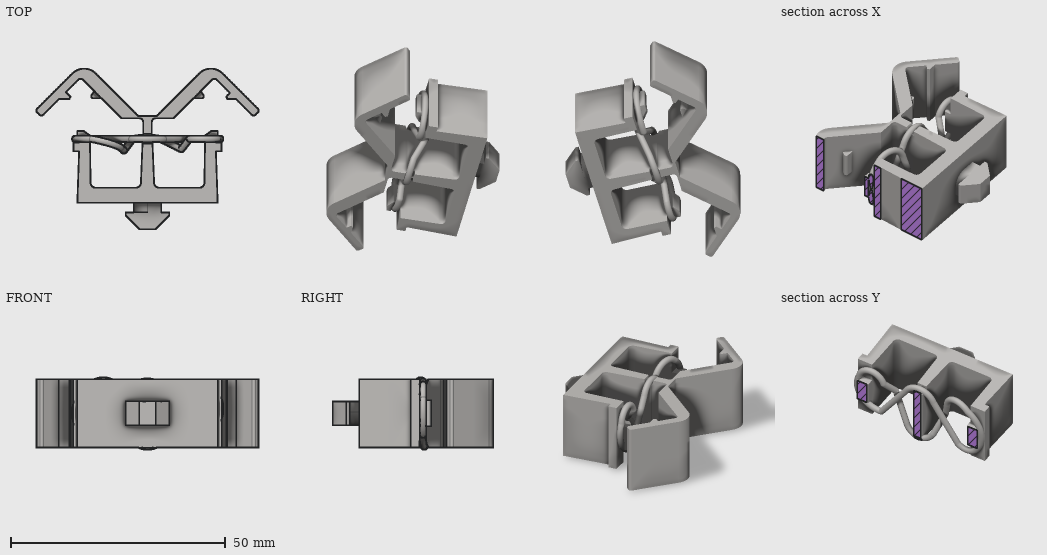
import cadquery as cq
import math


BODY_HEIGHT = 15.95

BASE_HALF_WIDTH = 16.35
WALL_TOP_HALF_WIDTH = 15.95
BAY_OUTER_TOP = 13.35
BAY_OUTER_FLOOR = 13.2
RIB_HALF_FLOOR = 1.6
RIB_HALF_TOP = 1.2
FLOOR_Y = 3.55
WALL_TOP_Y = 14.05
BAY_RADIUS = 1.15
FLANGE_HALF_WIDTH = 17.25
FLANGE_Y = 12.0

CATCH_HEIGHT = 6.0
HOOK_LOW_Y = 15.7
HOOK_TOP_Y = 16.75
HOOK_FLAT_X = 14.85
HOOK_RADIUS = 0.25

WEB_HALF_WIDTH = 1.05
WEB_TOP_Y = 19.65
WEB_RADIUS = 0.85
NOTCH_LOW_Y = 13.8
NOTCH_HIGH_Y = 16.1
NOTCH_HIGH_FLOOR_Y = 15.6
NOTCH_FLOOR_Z = 6.7

VALLEY_Y = 20.3
INNER_LEG_OUTSIDE = -18.1
INNER_LEG_INSIDE = -13.6
OUTER_LEG_OUTSIDE = 47.6
OUTER_LEG_INSIDE = 44.75
LEG_END = 4.6
APEX_RADIUS = 3.85
APEX_INSIDE_RADIUS = 0.85
TIP_RADIUS = 0.55
BARB_Y = 24.15
BARB_REACH = 18.55
BARB_TIP = (18.3, 24.75)
BARB_BACK = -6.4
LEFT_BARB_EXTRA = 0.4
NUB_TOP = (12.4, 26.0)
NUB_TIP = (13.55, 24.3)
NUB_RADIUS = 0.5

FOOT_HEIGHT = 5.6
STEM_HALF_WIDTH = 3.2
STEM_LENGTH = 2.15
HEAD_HALF_WIDTH = 5.05
HEAD_EDGE_Y = -2.95
HEAD_END_Y = -6.15

WIRE_DIAMETER = 1.5
SPRING_Y = 14.9


def prism(points, height):
    """Extrude an XY outline symmetrically about Z = 0."""
    return cq.Workplane("XY").polyline(points).close().extrude(height / 2, both=True)


def round_corner(solid, point, radius):
    """Fillet the Z-parallel edge that passes through an XY point."""
    near = cq.selectors.NearestToPointSelector((point[0], point[1], 0))
    return solid.edges("|Z").edges(near).fillet(radius)


def crossing(total, difference):
    """Point where x + y = total meets x - y = difference."""
    return ((total + difference) / 2, (total - difference) / 2)


def both_sides(solid):
    return solid.union(solid.mirror("YZ"))


def make_base():
    half = prism(
        [
            (0, 0),
            (BASE_HALF_WIDTH, 0),
            (WALL_TOP_HALF_WIDTH, FLANGE_Y),
            (FLANGE_HALF_WIDTH, FLANGE_Y),
            (FLANGE_HALF_WIDTH, WALL_TOP_Y),
            (BAY_OUTER_TOP, WALL_TOP_Y),
            (BAY_OUTER_FLOOR, FLOOR_Y),
            (RIB_HALF_FLOOR, FLOOR_Y),
            (RIB_HALF_TOP, NOTCH_LOW_Y),
            (RIB_HALF_TOP, NOTCH_HIGH_FLOOR_Y),
            (0, NOTCH_HIGH_FLOOR_Y),
        ],
        BODY_HEIGHT,
    )
    for x in (BAY_OUTER_FLOOR, RIB_HALF_FLOOR):
        half = round_corner(half, (x, FLOOR_Y), BAY_RADIUS)
    return both_sides(half)


def make_hooks():
    hook = prism(
        [
            (BAY_OUTER_TOP, WALL_TOP_Y),
            (WALL_TOP_HALF_WIDTH, WALL_TOP_Y),
            (WALL_TOP_HALF_WIDTH, HOOK_LOW_Y),
            (BASE_HALF_WIDTH, HOOK_LOW_Y),
            (BASE_HALF_WIDTH, HOOK_TOP_Y),
            (HOOK_FLAT_X, HOOK_TOP_Y),
            (BAY_OUTER_TOP, HOOK_LOW_Y),
        ],
        CATCH_HEIGHT,
    )
    hook = round_corner(hook, (BASE_HALF_WIDTH, HOOK_TOP_Y), HOOK_RADIUS)
    return both_sides(hook)


def make_arm(barb_extra):
    """Right-hand arm with half of the web; barb_extra enlarges the barb."""
    valley = (VALLEY_Y + INNER_LEG_OUTSIDE, VALLEY_Y)
    apex = crossing(OUTER_LEG_OUTSIDE, INNER_LEG_OUTSIDE)
    apex_inside = crossing(OUTER_LEG_INSIDE, INNER_LEG_INSIDE)
    tip_outside = crossing(OUTER_LEG_OUTSIDE, LEG_END)
    tip_inside = crossing(OUTER_LEG_INSIDE, LEG_END)
    web_corner = (WEB_HALF_WIDTH, WEB_TOP_Y)
    arm = prism(
        [
            (0, VALLEY_Y),
            valley,
            apex,
            tip_outside,
            tip_inside,
            (OUTER_LEG_INSIDE - BARB_Y, BARB_Y),
            (BARB_REACH - barb_extra, BARB_Y),
            (BARB_TIP[0] - barb_extra, BARB_TIP[1]),
            crossing(OUTER_LEG_INSIDE, BARB_BACK - barb_extra),
            apex_inside,
            (WEB_TOP_Y + INNER_LEG_INSIDE, WEB_TOP_Y),
            web_corner,
            (WEB_HALF_WIDTH, NOTCH_HIGH_FLOOR_Y),
            (0, NOTCH_HIGH_FLOOR_Y),
        ],
        BODY_HEIGHT,
    )
    arm = round_corner(arm, apex, APEX_RADIUS)
    arm = round_corner(arm, apex_inside, APEX_INSIDE_RADIUS)
    arm = round_corner(arm, tip_outside, TIP_RADIUS)
    arm = round_corner(arm, tip_inside, TIP_RADIUS)
    arm = round_corner(arm, web_corner, WEB_RADIUS)

    nub_foot = (NUB_TIP[1] + INNER_LEG_INSIDE, NUB_TIP[1])
    nub_root = (nub_foot[0], NUB_TOP[1])
    nub = prism([nub_foot, NUB_TIP, NUB_TOP, nub_root], CATCH_HEIGHT)
    nub = round_corner(nub, NUB_TIP, NUB_RADIUS)
    return arm.union(nub)


def make_arms():
    return make_arm(0).union(make_arm(LEFT_BARB_EXTRA).mirror("YZ"))


def make_notches():
    """Cutters at the two Z ends of the web where the spring crosses it."""
    end_z = BODY_HEIGHT / 2
    notch = (
        cq.Workplane("YZ")
        .moveTo(NOTCH_LOW_Y, end_z)
        .lineTo(NOTCH_LOW_Y, NOTCH_FLOOR_Z)
        .lineTo(NOTCH_HIGH_FLOOR_Y, NOTCH_FLOOR_Z)
        .lineTo(NOTCH_HIGH_Y, end_z)
        .close()
        .extrude(RIB_HALF_FLOOR, both=True)
    )
    return notch.union(notch.mirror("XY"))


def make_foot():
    half_height = FOOT_HEIGHT / 2
    side_z = half_height - STEM_HALF_WIDTH
    diagonal = STEM_HALF_WIDTH * math.sqrt(0.5)
    stem = (
        cq.Workplane("XZ")
        .moveTo(-STEM_HALF_WIDTH, -half_height)
        .lineTo(-STEM_HALF_WIDTH, side_z)
        .threePointArc((-diagonal, side_z + diagonal), (0, half_height))
        .lineTo(STEM_HALF_WIDTH, half_height)
        .lineTo(STEM_HALF_WIDTH, -side_z)
        .threePointArc((diagonal, -side_z - diagonal), (0, -half_height))
        .close()
        .extrude(STEM_LENGTH)
    )
    end_half_width = HEAD_HALF_WIDTH - (HEAD_EDGE_Y - HEAD_END_Y)
    head = prism(
        [
            (0, -STEM_LENGTH),
            (HEAD_HALF_WIDTH, -STEM_LENGTH),
            (HEAD_HALF_WIDTH, HEAD_EDGE_Y),
            (end_half_width, HEAD_END_Y),
            (0, HEAD_END_Y),
        ],
        FOOT_HEIGHT,
    )
    return stem.union(both_sides(head))


def wire_along(edge):
    """Round wire swept along an edge."""
    profile = cq.Workplane(cq.Plane(origin=edge.positionAt(0), normal=edge.tangentAt(0)))
    return profile.circle(WIRE_DIAMETER / 2).sweep(cq.Workplane(cq.Wire.assembleEdges([edge]))).val()


def wire_ball(point):
    """Ball that rounds the joint between two stretches of wire."""
    return cq.Workplane("XY").sphere(WIRE_DIAMETER / 2).translate(point).val()


def make_spring():
    """Closed wire: over the web, round both hooks, and back under the web through two bends."""
    web_over_left = (-3.8, SPRING_Y, 4.9)
    web_over = (-0.3, SPRING_Y, 7.4)
    web_over_right = (3.7, SPRING_Y, 4.9)
    left_low = (-10.35, SPRING_Y, -4.9)
    left_low_mid = (-13.65, SPRING_Y, -5.7)
    left_side_low = (-15.6, SPRING_Y, -4.05)
    left_side = (-16.8, SPRING_Y, 0)
    left_high = (-13.1, SPRING_Y, 6.5)
    left_peak = (-10.25, 14.3, 7.65)
    left_drop = (-6.3, 12.95, 4.0)
    left_bend = (-5.5, 12.2, 0)
    web_under_left = (-3.6, 14.7, -5.45)
    web_under = (0.05, 15.15, -7.75)
    web_under_right = (3.7, 14.6, -5.45)
    right_bend = (7.85, 12.5, 1.05)
    right_drop = (9.8, SPRING_Y, 4.3)
    right_peak = (13.45, SPRING_Y, 6.6)
    right_high = (16.35, SPRING_Y, 3.6)
    right_side = (16.9, SPRING_Y, 0.6)
    right_low = (10.35, SPRING_Y, -4.9)

    stretches = [
        (web_over_right, web_over, web_over_left),
        (web_over_left, left_low),
        (left_low, left_low_mid, left_side_low),
        (left_side_low, left_side, left_high),
        (left_high, left_peak, left_drop),
        (left_drop, left_bend),
        (left_bend, web_under_left),
        (web_under_left, web_under, web_under_right),
        (web_under_right, right_bend),
        (right_bend, right_drop),
        (right_drop, right_peak, right_high),
        (right_high, right_side, right_low),
        (right_low, web_over_right),
    ]
    pieces = []
    for stretch in stretches:
        points = [cq.Vector(*point) for point in stretch]
        if len(points) == 2:
            edge = cq.Edge.makeLine(*points)
        else:
            edge = cq.Edge.makeThreePointArc(*points)
        pieces.append(wire_along(edge))
        pieces.append(wire_ball(points[-1]))
    return cq.Workplane(pieces[0].fuse(*pieces[1:]))


body = make_base().union(make_arms()).cut(make_notches())
body = body.union(make_hooks()).union(make_foot())
result = body.union(make_spring())